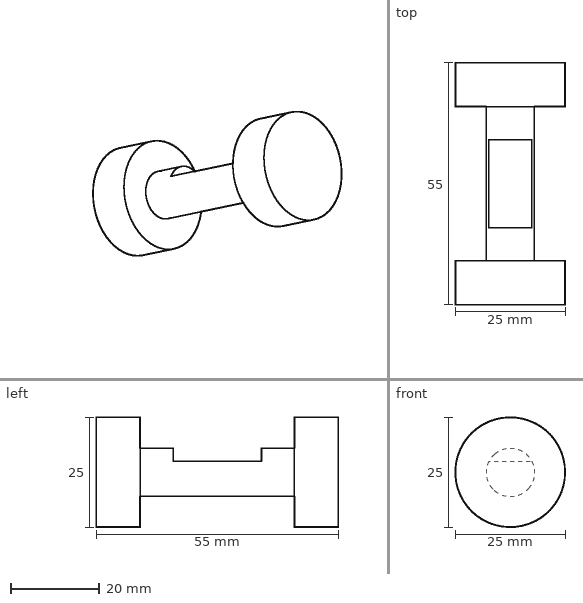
import cadquery as cq

total_length = 55.0
disc_diameter = 25.0
disc_width = 10.0
shaft_diameter = 11.0
flat_length = 20.0
flat_depth = 3.0

flat_height = shaft_diameter / 2 - flat_depth
disc_offset = (total_length - disc_width) / 2


def cylinder_along_y(diameter, length, center_y):
    """Solid cylinder on the Y axis, centred at center_y."""
    cylinder = cq.Workplane("XZ").circle(diameter / 2).extrude(length)
    return cylinder.translate((0, center_y + length / 2, 0))


def flat_cutter():
    """Block that removes the top of the shaft above the flat."""
    block = cq.Workplane("XY").workplane(offset=flat_height)
    return block.rect(shaft_diameter, flat_length).extrude(flat_depth)


result = cylinder_along_y(shaft_diameter, total_length, 0).cut(flat_cutter())
for side in (-1, 1):
    result = result.union(cylinder_along_y(disc_diameter, disc_width, side * disc_offset))

result = result.clean()